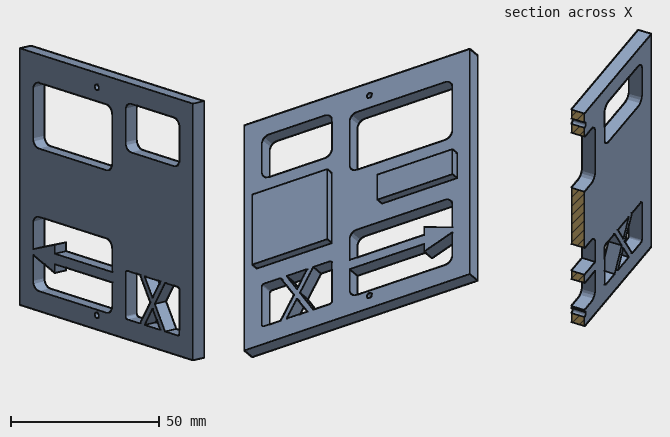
import cadquery as cq

plate_side = 90.0
total_depth = 8.0
pad_height = 3.0
plate_thickness = total_depth - pad_height

margin = 7.0
left_window_width = 40.95
right_window_width = 28.0
right_window_height = 17.0
right_window_x = plate_side - margin - right_window_width
lower_left_height = 26.0
upper_left_height = 23.0
upper_left_z = 57.0
window_radius = 3.0
cross_window_radius = 1.0

arrow_z = 20.1
shaft_width = 3.7
head_width = 9.9
head_base_x = 18.3
tip_width = 2.1

stroke_spread = 10.6
stroke_width = 2.4

hole_diameter = 2.0
hole_x = 40.05
hole_edge_distance = 5.0

pad_edge_distance = 5.0
pad_length = 30.0
left_pad_height = 10.0
right_pad_height = 28.0


def block(x, z, width, height, depth):
    """Box with its lower left front corner at (x, 0, z)."""
    return cq.Workplane("XY").box(width, depth, height, centered=False).translate((x, 0, z))


def window(x, z, width, height, radius):
    """Through cutter with rounded corners."""
    return block(x, z, width, height, plate_thickness).edges("|Y").fillet(radius)


def bar(points):
    """Closed XZ outline extruded through the plate thickness."""
    return cq.Workplane("XZ").polyline(points).close().extrude(-plate_thickness)


def arrow():
    left = margin
    right = margin + left_window_width
    upper = [
        (left, tip_width / 2),
        (head_base_x, head_width / 2),
        (head_base_x, shaft_width / 2),
        (right, shaft_width / 2),
    ]
    lower = [(x, -z) for x, z in reversed(upper)]
    return bar([(x, arrow_z + z) for x, z in upper + lower])


def stroke(direction):
    """One diagonal of the cross; direction +1 rises toward +X, -1 toward -X."""
    center_x = right_window_x + right_window_width / 2
    bottom_x = center_x - direction * stroke_spread / 2
    top_x = center_x + direction * stroke_spread / 2
    top_z = margin + right_window_height
    half = stroke_width / 2
    return bar([
        (bottom_x - half, margin),
        (bottom_x + half, margin),
        (top_x + half, top_z),
        (top_x - half, top_z),
    ])


def pad(x, height):
    """Rear pad centered on the plate height."""
    shape = block(x, (plate_side - height) / 2, pad_length, height, pad_height)
    return shape.translate((0, plate_thickness, 0))


result = block(0, 0, plate_side, plate_side, plate_thickness)

upper_right_z = plate_side - margin - right_window_height
for cutter in (
    window(margin, margin, left_window_width, lower_left_height, window_radius),
    window(margin, upper_left_z, left_window_width, upper_left_height, window_radius),
    window(right_window_x, margin, right_window_width, right_window_height, cross_window_radius),
    window(right_window_x, upper_right_z, right_window_width, right_window_height, window_radius),
):
    result = result.cut(cutter)

for hole_z in (hole_edge_distance, plate_side - hole_edge_distance):
    hole = cq.Workplane("XZ").center(hole_x, hole_z).circle(hole_diameter / 2).extrude(-plate_thickness)
    result = result.cut(hole)

for bridge in (arrow(), stroke(1), stroke(-1)):
    result = result.union(bridge)

result = result.union(pad(pad_edge_distance, left_pad_height))
result = result.union(pad(plate_side - pad_edge_distance - pad_length, right_pad_height))